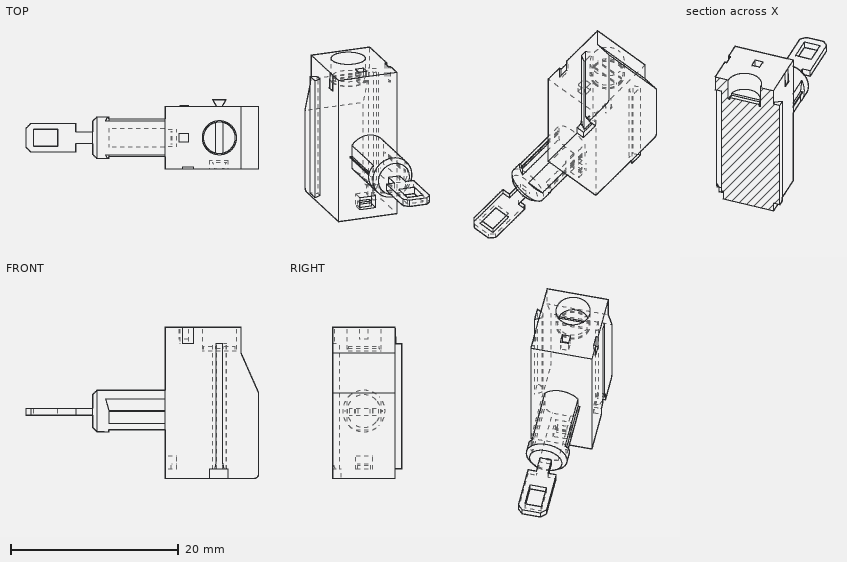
import cadquery as cq

overall_length = 27.85
overall_width = 8.3

body_length = 11.2
body_width = 7.5
body_height = 18.1
body_top_length = 9.08
slope_bottom_z = 10.25
slope_top_z = 15.03
bottom_corner_radius = 0.55
side_y = body_width / 2

rail_x = 6.5
rail_bottom_z = 1.17
rail_top_z = 16.12
rail_height = overall_width - body_width
rail_base_width = 0.7
rail_tip_width = 1.61
groove_clearance = 0.03
lead_in_width = 1.1
lead_in_top_z = 1.92
lead_in_notch_x = 6.4
lead_in_notch_width = 2.2
lead_in_notch_depth = 1.0

snap_bottom_z = 16.15
notch_start_x = 2.1
notch_width = 1.28
notch_depth = 0.25
catch_start_x = 1.78
catch_width = 1.03
catch_height = 0.1

screw_hole_diameter = 4.1
screw_hole_depth = 2.85
screw_head_diameter = 3.8
screw_head_height = 0.55
screw_slot_width = 0.92
screw_slot_depth = 0.28
probe_hole_x = 2.23
probe_hole_length = 1.1
probe_hole_width = 1.0
probe_hole_depth = 1.4

pocket_width = 2.03
pocket_bottom_z = 1.17
pocket_height = 1.53
pocket_depth = 1.4
lever_width = 1.53
lever_front_height = 0.42
lever_back_height = 0.58
lever_setback = 0.7
lever_slope_length = 0.15

barrel_z = 8.07
barrel_diameter = 5.0
barrel_length = 8.65
barrel_chamfer = 0.53
collar_end_x = -6.7
flat_offset = 2.03
flat_top_start_x = -7.1
flat_top_rise = 1.45
ridge_offset = 2.25
ridge_thickness = 0.17

blade_z = 7.95
blade_thickness = 0.84
blade_tip_x = body_length - overall_length
blade_length = 5.99
blade_width = 3.45
blade_chamfer = 0.6
blade_window_start = 0.95
blade_window_length = 2.87
blade_window_width = 2.0
neck_width = 1.42


def box(x_range, y_range, z_range):
    """Axis-aligned box between the given limits."""
    size = [high - low for low, high in (x_range, y_range, z_range)]
    corner = (x_range[0], y_range[0], z_range[0])
    return cq.Workplane("XY").box(*size, centered=False).translate(corner)


def span(center, width):
    """Limits of a width centred on a position."""
    return (center - width / 2, center + width / 2)


def make_housing():
    outline = [
        (0, 0),
        (body_length, 0),
        (body_length, slope_bottom_z),
        (body_top_length, slope_top_z),
        (body_top_length, body_height),
        (0, body_height),
    ]
    housing = cq.Workplane("XZ").polyline(outline).close().extrude(side_y, both=True)
    return housing.edges("|Y").edges(">X and <Z").fillet(bottom_corner_radius)


def make_dovetail(base_y, clearance=0.0):
    """Dovetail prism that widens from base_y toward +Y."""
    base_half = rail_base_width / 2 + clearance
    tip_half = rail_tip_width / 2 + clearance
    outline = [
        (-base_half, 0),
        (base_half, 0),
        (tip_half, rail_height),
        (-tip_half, rail_height),
    ]
    prism = cq.Workplane("XY").polyline(outline).close().extrude(rail_top_z - rail_bottom_z)
    return prism.translate((rail_x, base_y, rail_bottom_z))


def make_groove():
    """Dovetail groove with a flared lead-in above a rectangular notch."""
    groove_half = rail_base_width / 2 + groove_clearance
    lead_in_half = lead_in_width / 2
    flare_outline = [
        (rail_x - lead_in_half, rail_bottom_z),
        (rail_x + lead_in_half, rail_bottom_z),
        (rail_x + groove_half, lead_in_top_z),
        (rail_x - groove_half, lead_in_top_z),
    ]
    flare_plane = cq.Workplane("XZ", origin=(0, -side_y, 0))
    flare = flare_plane.polyline(flare_outline).close().extrude(-rail_height)
    notch = box(
        span(lead_in_notch_x, lead_in_notch_width),
        (-side_y, -side_y + lead_in_notch_depth),
        (0, rail_bottom_z),
    )
    return make_dovetail(-side_y, groove_clearance).union(flare).union(notch)


def make_snap_notch():
    return box(
        (notch_start_x, notch_start_x + notch_width),
        (-side_y, -side_y + notch_depth),
        (snap_bottom_z, body_height),
    )


def make_snap_catch():
    """Wedge that rises from the top edge down to the snap ledge."""
    outline = [
        (side_y, body_height),
        (side_y, snap_bottom_z),
        (side_y + catch_height, snap_bottom_z),
    ]
    wedge = cq.Workplane("YZ").polyline(outline).close().extrude(catch_width)
    return wedge.translate((catch_start_x, 0, 0))


def make_screw_hole():
    """Round well with a slotted screw head left standing on its floor."""
    floor_z = body_height - screw_hole_depth
    head_top_z = floor_z + screw_head_height
    floor = cq.Workplane("XY", origin=(rail_x, 0, floor_z))
    well = floor.circle(screw_hole_diameter / 2).extrude(screw_hole_depth)
    head = floor.circle(screw_head_diameter / 2).extrude(screw_head_height)
    slot = box(
        span(rail_x, screw_slot_width),
        span(0, screw_head_diameter),
        (head_top_z - screw_slot_depth, head_top_z),
    )
    return well.cut(head.cut(slot))


def make_probe_hole():
    return box(
        span(probe_hole_x, probe_hole_length),
        span(0, probe_hole_width),
        (body_height - probe_hole_depth, body_height),
    )


def make_release_pocket():
    """Front pocket around a lever whose top slopes up toward the back."""
    pocket = box(
        (0, pocket_depth),
        span(0, pocket_width),
        (pocket_bottom_z, pocket_bottom_z + pocket_height),
    )
    lever_outline = [
        (lever_setback, 0),
        (lever_setback, lever_front_height),
        (lever_setback + lever_slope_length, lever_back_height),
        (pocket_depth, lever_back_height),
        (pocket_depth, 0),
    ]
    lever_profile = cq.Workplane("XZ").polyline(lever_outline).close()
    lever = lever_profile.extrude(lever_width / 2, both=True)
    return pocket.cut(lever.translate((0, 0, pocket_bottom_z)))


def make_barrel():
    """Chamfered barrel, relieved behind its collar on both sides and below."""
    radius = barrel_diameter / 2
    front = cq.Workplane("YZ", origin=(-barrel_length, 0, barrel_z))
    barrel = front.circle(radius).extrude(barrel_length)
    barrel = barrel.faces("<X").chamfer(barrel_chamfer)

    ridge_half = ridge_thickness / 2
    upper_outline = [
        (0, ridge_half),
        (collar_end_x, ridge_half),
        (flat_top_start_x, flat_top_rise),
        (flat_top_start_x, radius),
        (0, radius),
    ]
    upper_profile = cq.Workplane("XZ", origin=(0, 0, barrel_z)).polyline(upper_outline).close()
    upper_relief = upper_profile.extrude(radius, both=True)
    upper_relief = upper_relief.cut(
        box((-barrel_length, 0), span(0, 2 * flat_offset), (barrel_z, barrel_z + radius))
    )
    barrel = barrel.cut(upper_relief)

    behind_collar = (collar_end_x, 0)
    below_ridge = (barrel_z - radius, barrel_z - ridge_half)
    at_ridge = span(barrel_z, ridge_thickness)
    for offset, z_range in ((flat_offset, below_ridge), (ridge_offset, at_ridge)):
        for y_range in ((offset, radius), (-radius, -offset)):
            barrel = barrel.cut(box(behind_collar, y_range, z_range))
    bottom_range = (barrel_z - radius, barrel_z - ridge_offset)
    return barrel.cut(box(behind_collar, span(0, barrel_diameter), bottom_range))


def make_blade():
    """Windowed blade with a chamfered tip, joined to the barrel by a neck."""
    blade_end_x = blade_tip_x + blade_length
    window_start_x = blade_tip_x + blade_window_start
    thickness_range = span(blade_z, blade_thickness)
    blade = box((blade_tip_x, blade_end_x), span(0, blade_width), thickness_range)
    blade = blade.edges("|Z and <X").chamfer(blade_chamfer)
    window = box(
        (window_start_x, window_start_x + blade_window_length),
        span(0, blade_window_width),
        thickness_range,
    )
    neck = box((blade_end_x, -barrel_length), span(0, neck_width), thickness_range)
    return blade.cut(window).union(neck)


result = make_housing()
for cutter in (
    make_groove(),
    make_snap_notch(),
    make_screw_hole(),
    make_probe_hole(),
    make_release_pocket(),
):
    result = result.cut(cutter)
for addition in (make_dovetail(side_y), make_snap_catch(), make_barrel(), make_blade()):
    result = result.union(addition)